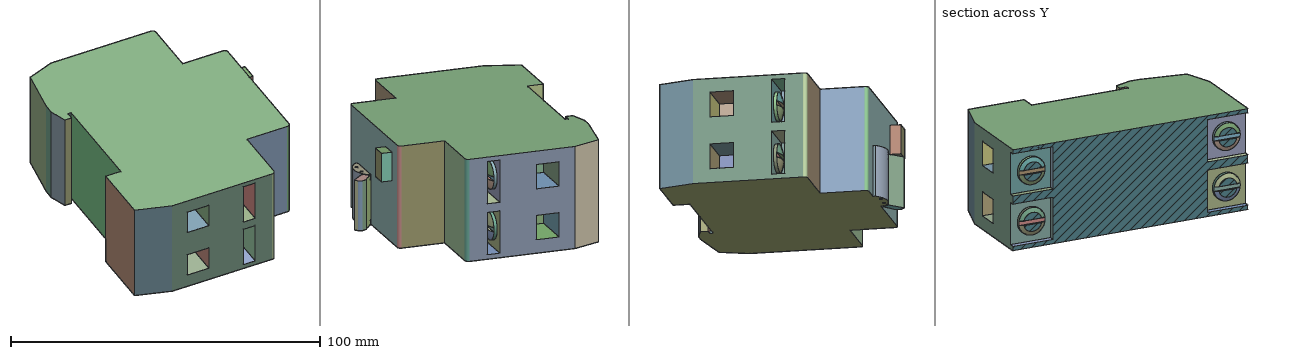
import cadquery as cq
import math


length = 85.0
width = 35.0
half_length = length / 2
shoulder_y = 49.55
crown_y = 65.45
crown_half_length = 22.5
corner_radius = 1.2
bevel_top_y = 11.9
foot_x = 38.9
foot_y = 2.5

recess_y = 5.5
recess_right_x = 18.7
recess_left_x = -16.2
clip_tip_x = -13.7
clip_top_y = 4.4
clip_bottom_y = 1.95
clip_flat_left_x = -22.95
clip_flat_right_x = -19.5

pole_pitch = 17.4
lower_pole_z = 8.8
pole_heights = (lower_pole_z, lower_pole_z + pole_pitch)
chamber_height = 4.25
chamber_width = 14.45
chamber_depth = chamber_width
chamber_floor_y = 37.9
wire_hole_height = 7.8
wire_hole_width = 8.3
wire_hole_center_y = 21.3
wire_hole_depth = chamber_depth

screw_radius = 4.8
screw_rim_height = 1.1
screw_crown_height = 2.3
screw_slot_width = 1.45

button_center_x = -13.5
button_length = 5.8
button_width = 9.8
button_height = 3.6
button_center_z = 26.2

toggle_width = 17.1
drum_center_x = 9.2
drum_half_length = 6.0
drum_height = 3.6
drum_side_height = 0.85
drum_hole_spacing = 4.7
drum_hole_radius = 0.5
drum_hole_height = 1.8
neck_side_gap = 1.6
neck_length = 1.0
handle_root_low = (2.4, crown_y + 0.4)
handle_root_high = (4.2, crown_y + 2.7)
handle_low_bend = (0.2, crown_y + 2.4)
handle_tip_low = (-1.1, crown_y + 3.15)
handle_tip_left = (-1.9, crown_y + 4.7)
handle_tip_bulge = (-1.9, crown_y + 5.35)
handle_tip_upper = (-1.5, crown_y + 6.0)
handle_tip_high = (-0.25, crown_y + 7.0)


def build_housing():
    """Stepped housing with bevelled feet and the rail recess."""
    outline = [
        (-half_length, shoulder_y),
        (-crown_half_length, shoulder_y),
        (-crown_half_length, crown_y),
        (crown_half_length, crown_y),
        (crown_half_length, shoulder_y),
        (half_length, shoulder_y),
        (half_length, bevel_top_y),
        (foot_x, 0),
        (recess_right_x, 0),
        (recess_right_x, recess_y),
        (recess_left_x, recess_y),
        (recess_left_x, clip_top_y),
        (clip_tip_x, clip_top_y),
        (clip_tip_x, clip_bottom_y),
        (clip_flat_right_x, 0),
        (clip_flat_left_x, 0),
        (-foot_x, foot_y),
        (-half_length, bevel_top_y),
    ]
    housing = cq.Workplane("XY").polyline(outline).close().extrude(width)
    outer_corners = [
        (side * x, y)
        for side in (-1, 1)
        for x, y in ((half_length, shoulder_y), (crown_half_length, crown_y))
    ]
    for x, y in outer_corners:
        corner_edge = cq.selectors.NearestToPointSelector((x, y, width / 2))
        housing = housing.edges(corner_edge).fillet(corner_radius)
    return housing


def end_pocket(depth, height, pocket_width, center_y, center_z):
    """Rectangular pocket that opens on the -X end."""
    return cq.Workplane("XY").box(depth, height, pocket_width).translate(
        (-half_length + depth / 2, center_y, center_z)
    )


def build_screw(center_z):
    """Slotted screw head with a domed crown, standing on a chamber floor."""
    dome_rise = screw_crown_height - screw_rim_height
    dome_radius = (screw_radius**2 + dome_rise**2) / (2 * dome_rise)
    head = (
        cq.Workplane("XY")
        .lineTo(screw_radius, 0)
        .lineTo(screw_radius, screw_rim_height)
        .radiusArc((0, screw_crown_height), -dome_radius)
        .close()
        .revolve(360, (0, 0), (0, 1))
    )
    slot = cq.Workplane("XY").box(2 * screw_radius, screw_crown_height, screw_slot_width)
    head = head.cut(slot.translate((0, screw_rim_height + screw_crown_height / 2, 0)))
    return head.translate((-half_length + chamber_depth / 2, chamber_floor_y, center_z))


def build_button():
    """Rectangular test button on the crown."""
    return cq.Workplane("XY").box(button_length, button_height, button_width).translate(
        (button_center_x, crown_y + button_height / 2, button_center_z)
    )


def extend_edge(start, end, distance):
    """Point the given distance beyond the end of an edge, along its own line."""
    edge_length = math.dist(start, end)
    return tuple(b + (b - a) * distance / edge_length for a, b in zip(start, end))


def build_toggle():
    """Drum segment with two cross holes, and a handle joined to it by a narrower, flush neck."""
    drum = (
        cq.Workplane("XY")
        .moveTo(drum_center_x - drum_half_length, crown_y)
        .lineTo(drum_center_x - drum_half_length, crown_y + drum_side_height)
        .threePointArc(
            (drum_center_x, crown_y + drum_height),
            (drum_center_x + drum_half_length, crown_y + drum_side_height),
        )
        .lineTo(drum_center_x + drum_half_length, crown_y)
        .close()
        .extrude(toggle_width)
    )
    cross_holes = (
        cq.Workplane("XY")
        .center(drum_center_x, crown_y + drum_hole_height)
        .pushPoints([(-drum_hole_spacing / 2, 0), (drum_hole_spacing / 2, 0)])
        .circle(drum_hole_radius)
        .extrude(toggle_width)
    )
    handle = (
        cq.Workplane("XY")
        .moveTo(*handle_root_high)
        .lineTo(*handle_tip_high)
        .lineTo(*handle_tip_upper)
        .threePointArc(handle_tip_bulge, handle_tip_left)
        .lineTo(*handle_tip_low)
        .lineTo(*handle_low_bend)
        .lineTo(*handle_root_low)
        .close()
        .extrude(toggle_width)
    )
    neck_outline = [
        handle_root_low,
        handle_root_high,
        extend_edge(handle_tip_high, handle_root_high, neck_length),
        extend_edge(handle_low_bend, handle_root_low, neck_length),
    ]
    neck = (
        cq.Workplane("XY", origin=(0, 0, neck_side_gap))
        .polyline(neck_outline)
        .close()
        .extrude(toggle_width - 2 * neck_side_gap)
    )
    return drum.cut(cross_holes).union(handle).union(neck)


result = build_housing()

chamber_center_y = chamber_floor_y + chamber_height / 2
for pole_z in pole_heights:
    chamber = end_pocket(chamber_depth, chamber_height, chamber_width, chamber_center_y, pole_z)
    wire_hole = end_pocket(
        wire_hole_depth, wire_hole_height, wire_hole_width, wire_hole_center_y, pole_z
    )
    screw = build_screw(pole_z)
    pockets = chamber.union(wire_hole)
    result = result.cut(pockets).cut(pockets.mirror("YZ"))
    result = result.union(screw).union(screw.mirror("YZ"))

result = result.union(build_button()).union(build_toggle()).solids()